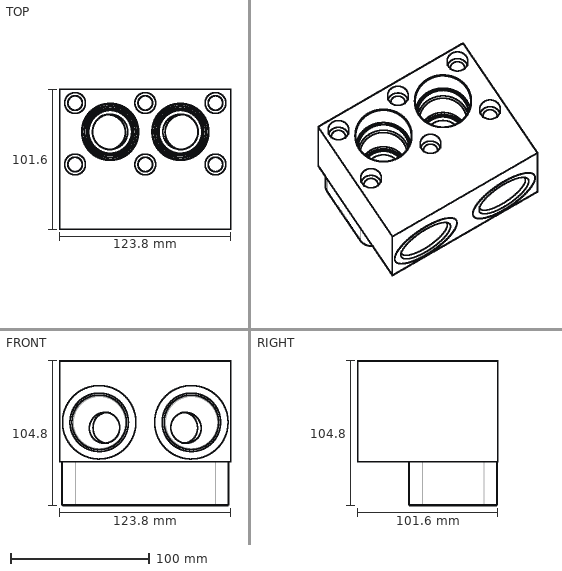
import cadquery as cq
import math

block_length = 123.83
block_width = 101.6
total_height = 104.78
base_height = 31.75
block_height = total_height - base_height

base_length = 120.65
base_width = 63.9
base_rear_inset = 0.6
base_corner_radius = 9.525
base_bottom_chamfer = 0.8

cavity_x = 25.4
cavity_y = block_width / 2 - 30.95
cavity_mouth_radius = 20.64
cavity_radius = 20.1
cavity_mouth_depth = 0.6
cavity_depth = 23.5
seat_mouth_radius = 18.8
seat_radius = 18.4
seat_end = 34.0
chamber_radius = 17.1
chamber_end = 62.0
throat_radius = 16.0
throat_length = 1.5
floor_radius = 15.5
floor_length = 1.5
seat_start = cavity_depth + seat_mouth_radius - seat_radius
chamber_start = seat_end + seat_radius - chamber_radius
throat_start = chamber_end + chamber_radius - throat_radius
throat_end = throat_start + throat_length
floor_start = throat_end + throat_radius - floor_radius
floor_depth = floor_start + floor_length

outlet_radius = 12.7
outlet_shift_x = 1.75
outlet_shift_y = -0.3
outlet_overrun = 0.1

port_x = 33.34
port_z = 28.575
spotface_radius = 26.6
spotface_depth = 0.25
port_mouth_radius = 21.2
port_mouth_depth = 2.4
port_radius = 19.75
port_depth = 26.5
drill_radius = 18.9
drill_half_angle = math.radians(59)

passage_radius = 11.15
passage_z = 24.6
passage_start_x = 30.7
passage_start_depth = 20.0

mount_spacing_x = 50.8
mount_spacing_y = 44.45
mount_rear_inset = 10.1
mount_radius = 5.16
counterbore_radius = 7.54
counterbore_depth = 12.7

front_y = -block_width / 2
rear_y = block_width / 2


def revolved_cutter(profile):
    """Solid of revolution about the Z axis; profile lists (radius, depth) corners from the mouth down."""
    points = [(0, 0)]
    for radius, depth in profile:
        points.append((radius, -depth))
    last_radius, last_depth = profile[-1]
    if last_radius > 0:
        points.append((0, -last_depth))
    return cq.Workplane("XZ").polyline(points).close().revolve(360, (0, 0), (0, 1))


def slanted_cylinder(start, end, radius):
    """Cylinder of the given radius whose axis runs from start to end."""
    axis = cq.Vector(*end) - cq.Vector(*start)
    return cq.Workplane(cq.Solid.makeCylinder(radius, axis.Length, cq.Vector(*start), axis))


def make_body():
    block = cq.Workplane("XY").box(block_length, block_width, block_height, centered=(True, True, False))
    base = (
        cq.Workplane("XY")
        .center(0, rear_y - base_rear_inset - base_width / 2)
        .rect(base_length, base_width)
        .extrude(-base_height)
        .edges("|Z")
        .fillet(base_corner_radius)
        .faces("<Z")
        .chamfer(base_bottom_chamfer)
    )
    return block.union(base)


def make_cavity(side):
    profile = [
        (cavity_mouth_radius, 0),
        (cavity_radius, cavity_mouth_depth),
        (cavity_radius, cavity_depth),
        (seat_mouth_radius, cavity_depth),
        (seat_radius, seat_start),
        (seat_radius, seat_end),
        (chamber_radius, chamber_start),
        (chamber_radius, chamber_end),
        (throat_radius, throat_start),
        (throat_radius, throat_end),
        (floor_radius, floor_start),
        (floor_radius, floor_depth),
    ]
    return revolved_cutter(profile).translate((side * cavity_x, cavity_y, block_height))


def make_outlet(side):
    floor_centre = cq.Vector(side * cavity_x, cavity_y, block_height - floor_depth)
    exit_centre = cq.Vector(side * (cavity_x + outlet_shift_x), cavity_y + outlet_shift_y, -base_height)
    overrun = (exit_centre - floor_centre) * outlet_overrun
    start = (floor_centre - overrun).toTuple()
    end = (exit_centre + overrun).toTuple()
    return slanted_cylinder(start, end, outlet_radius)


def make_port(side):
    drill_start = port_depth + port_radius - drill_radius
    tip_depth = drill_start + drill_radius / math.tan(drill_half_angle)
    profile = [
        (spotface_radius, 0),
        (spotface_radius, spotface_depth),
        (port_mouth_radius, spotface_depth),
        (port_radius, port_mouth_depth),
        (port_radius, port_depth),
        (drill_radius, drill_start),
        (0, tip_depth),
    ]
    cutter = revolved_cutter(profile)
    return cutter.rotate((0, 0, 0), (1, 0, 0), 90).translate((side * port_x, front_y, port_z))


def make_passage(side):
    start = (side * passage_start_x, front_y + passage_start_depth, passage_z)
    end = (side * cavity_x, cavity_y, passage_z)
    return slanted_cylinder(start, end, passage_radius)


def make_mount_hole(column, row):
    profile = [
        (counterbore_radius, 0),
        (counterbore_radius, counterbore_depth),
        (mount_radius, counterbore_depth),
        (mount_radius, total_height),
    ]
    x = column * mount_spacing_x
    y = rear_y - mount_rear_inset - row * mount_spacing_y
    return revolved_cutter(profile).translate((x, y, block_height))


result = make_body()
for side in (-1, 1):
    result = result.cut(make_cavity(side))
    result = result.cut(make_outlet(side))
    result = result.cut(make_port(side))
    result = result.cut(make_passage(side))
for column in (-1, 0, 1):
    for row in (0, 1):
        result = result.cut(make_mount_hole(column, row))